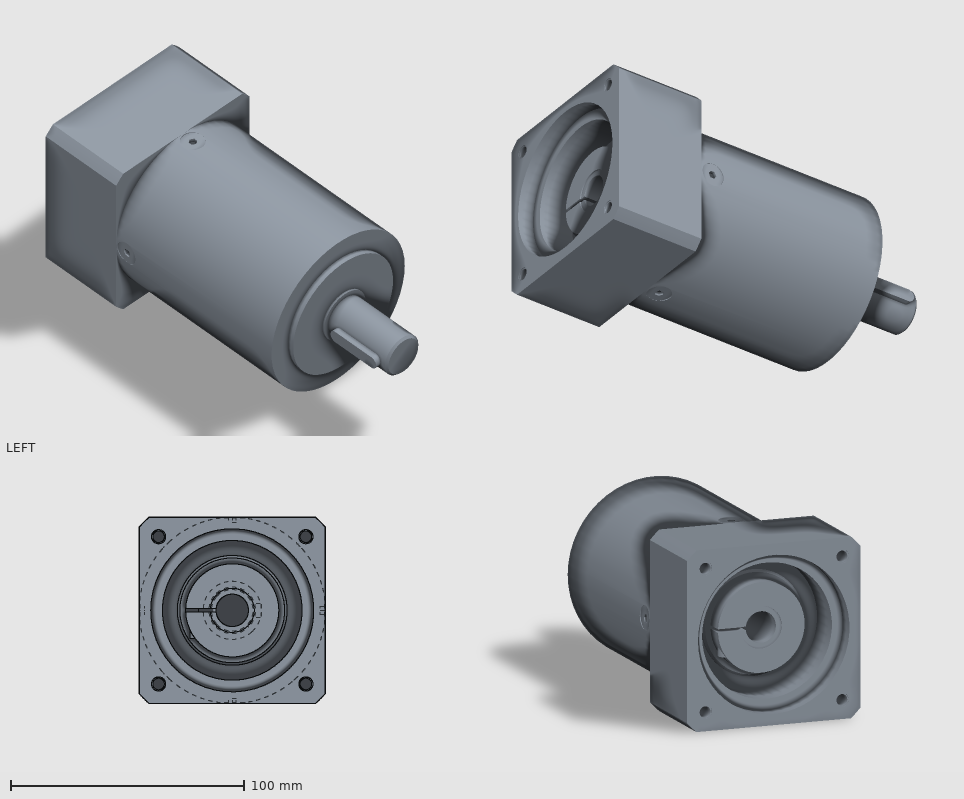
import cadquery as cq
import math

total_length = 178.5

flange_size = 80.0
flange_length = 43.2
corner_flat = 4.3
corner_radius = math.hypot(flange_size / 2, flange_size / 2 - corner_flat)

register_radius = 35.0
register_depth = 7.9
cavity_radius = 30.0
cavity_floor = 25.0

mount_offset = 31.6
mount_hole_diameter = 5.0
mount_mouth_diameter = 6.0
mount_mouth_depth = 0.4
mount_depth = 20.0

seat_radius = 23.5
seat_height = 1.8
seat_chamfer = 1.0
hub_radius = 20.0
hub_front = 14.5
sleeve_radius = 9.5
sleeve_setback = 0.5
bore_radius = 7.0
bore_end = 42.8
slit_width = 1.6
slit_step_y = 14.5

screw_x = (hub_front + cavity_floor - seat_height) / 2
screw_y = slit_step_y
screw_head_radius = 3.7
screw_head_height = 4.0
screw_head_end = -12.1

body_radius = flange_size / 2
body_end = 138.5
pilot_radius = 30.0
pilot_end = 141.5
collar_radius = 12.5
collar_end = 142.6

shaft_radius = 10.0
shaft_chamfer = 1.0
key_start = 146.5
key_length = 28.0
key_width = 6.0
key_base = 6.2
key_top = 12.5

plug_x = 49.5
plug_radius = 5.5
plug_face_depth = 0.45
socket_across_corners = 4.0
socket_depth = 1.8


def x_cylinder(radius, start, end):
    """Cylinder on the X axis between two X positions."""
    return cq.Workplane("YZ").workplane(offset=start).circle(radius).extrude(end - start)


def mount_holes(diameter, depth):
    """Four round cutters, one at each corner of the flange face."""
    return (
        cq.Workplane("YZ")
        .rect(2 * mount_offset, 2 * mount_offset, forConstruction=True)
        .vertices()
        .circle(diameter / 2)
        .extrude(depth)
    )


def make_flange():
    block = cq.Workplane("YZ").rect(flange_size, flange_size).extrude(flange_length)
    block = block.intersect(x_cylinder(corner_radius, 0, flange_length))
    block = block.cut(x_cylinder(register_radius, 0, register_depth))
    block = block.cut(x_cylinder(cavity_radius, 0, cavity_floor))
    block = block.cut(mount_holes(mount_hole_diameter, mount_depth))
    return block.cut(mount_holes(mount_mouth_diameter, mount_mouth_depth))


def slit_cut(y_start, y_end, x_end):
    """Stretch of the clamp slit, from the hub front down to an X position."""
    size = (x_end - hub_front, y_end - y_start, slit_width)
    corner = (hub_front, y_start, 0)
    return cq.Workplane("XY", origin=corner).box(*size, centered=(False, False, True))


def make_clamp_hub():
    seat_front = cavity_floor - seat_height
    seat = x_cylinder(seat_radius, seat_front, cavity_floor).faces("<X").chamfer(seat_chamfer)
    hub = seat.union(x_cylinder(hub_radius, hub_front, cavity_floor))
    hub = hub.cut(x_cylinder(sleeve_radius, hub_front, hub_front + sleeve_setback))
    hub = hub.cut(slit_cut(0, slit_step_y, seat_front))
    hub = hub.cut(slit_cut(slit_step_y, hub_radius, cavity_floor))
    head = (
        cq.Workplane("XY", origin=(screw_x, screw_y, screw_head_end))
        .circle(screw_head_radius)
        .extrude(screw_head_height)
    )
    return hub.union(head)


def make_output_end():
    shaft = x_cylinder(shaft_radius, pilot_end, total_length).faces(">X").chamfer(shaft_chamfer)
    key = (
        cq.Workplane("XZ", origin=(key_start + key_length / 2, -key_base, 0))
        .slot2D(key_length, key_width)
        .extrude(key_top - key_base)
    )
    pilot = x_cylinder(pilot_radius, body_end, pilot_end)
    collar = x_cylinder(collar_radius, pilot_end, collar_end)
    return pilot.union(collar).union(shaft).union(key)


def make_plug_cut():
    """Spot face with a hexagon socket, cut into the top of the housing."""
    face_height = body_radius - plug_face_depth
    top = cq.Workplane("XY", origin=(plug_x, 0, face_height))
    spot_face = top.circle(plug_radius).extrude(2 * plug_face_depth)
    socket = top.polygon(6, socket_across_corners).extrude(-socket_depth)
    return spot_face.union(socket)


result = make_flange().union(x_cylinder(body_radius, flange_length, body_end))
result = result.union(make_output_end()).union(make_clamp_hub())
result = result.cut(x_cylinder(bore_radius, hub_front, bore_end))

plug_cut = make_plug_cut()
for angle in (0, 90, 180, 270):
    result = result.cut(plug_cut.rotate((0, 0, 0), (1, 0, 0), angle))